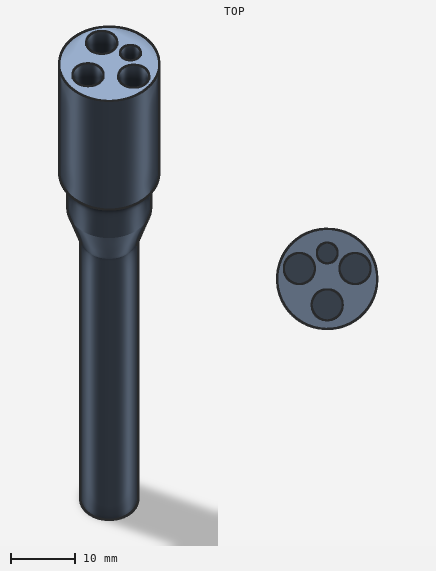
import cadquery as cq

total_length = 100.0
head_length = 25.0
collar_length = 8.0
taper_length = 7.0
cable_length = total_length - head_length - collar_length - taper_length

head_diameter = 15.5
collar_diameter = 13.0
cable_diameter = 9.0

socket_diameter = 4.8
key_diameter = 3.2
hole_depth = 20.0
side_socket_x = 4.3
side_socket_y = 1.6
front_socket_y = -4.0
key_y = 4.0


def make_body():
    """Revolve the stepped outline about Z, with the cable end at Z = 0."""
    taper_top = cable_length + taper_length
    collar_top = taper_top + collar_length
    outline = [
        (0, 0),
        (cable_diameter / 2, 0),
        (cable_diameter / 2, cable_length),
        (collar_diameter / 2, taper_top),
        (collar_diameter / 2, collar_top),
        (head_diameter / 2, collar_top),
        (head_diameter / 2, total_length),
        (0, total_length),
    ]
    return cq.Workplane("XZ").polyline(outline).close().revolve(360, (0, 0, 0), (0, 1, 0))


def make_holes(centres, diameter):
    """Cylinders reaching down from the end face of the head."""
    end_face = cq.Workplane("XY").workplane(offset=total_length)
    return end_face.pushPoints(centres).circle(diameter / 2).extrude(-hole_depth)


socket_centres = [
    (-side_socket_x, side_socket_y),
    (0, front_socket_y),
    (side_socket_x, side_socket_y),
]

result = make_body()
result = result.cut(make_holes(socket_centres, socket_diameter))
result = result.cut(make_holes([(0, key_y)], key_diameter))